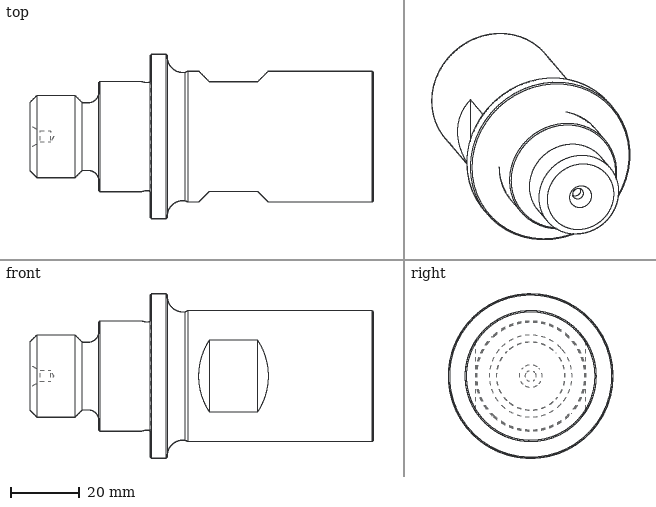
import cadquery as cq
import math

LENGTH = 100.0
PIN_END = 13.1
NECK_FLOOR_END = 17.0
SPIGOT_START = 20.0
SPIGOT_RELIEF_START = 32.4
FLANGE_START = 35.0
FLANGE_END = 40.0
BODY_START = 46.0

PIN_RADIUS = 12.0
NECK_RADIUS = 9.9
SPIGOT_RADIUS = 16.1
FLANGE_RADIUS = 24.0
BODY_RADIUS = 19.1

PIN_CHAMFER = 2.0
EDGE_CHAMFER = 0.4
NECK_FILLET = SPIGOT_START - NECK_FLOOR_END
BODY_FILLET = 4.5

SPIGOT_RELIEF_DEPTH = 0.3
SPIGOT_RELIEF_TAPER = 1.2
SPIGOT_RELIEF_FILLET = 0.8
FACE_RELIEF_DEPTH = 0.2
FACE_RELIEF_RADIUS = 17.7

BODY_RELIEF_DEPTH = 0.4
BODY_RELIEF_TAPER = 0.9

FLAT_START = 52.2
FLAT_LENGTH = 14.1
FLAT_DISTANCE = 16.0

CENTRE_RADIUS = 3.3
PILOT_RADIUS = 1.6
PILOT_DEPTH = 6.0
COUNTERSINK_ANGLE = 60.0
DRILL_POINT_ANGLE = 120.0


def cone_depth(radius_change, included_angle):
    """Axial length of a cone from its change of radius and included angle."""
    return radius_change / math.tan(math.radians(included_angle / 2))


def concave_fillet_middle(x_center, radius_center, fillet, toward_plus_x):
    """Midpoint of a quarter arc that faces the axis and the given X direction."""
    offset = fillet * math.sqrt(0.5)
    x_offset = offset if toward_plus_x else -offset
    return (x_center + x_offset, radius_center - offset)


def revolve_about_x(profile):
    return profile.close().revolve(360, (0, 0, 0), (1, 0, 0))


def turned_blank():
    neck_center = (NECK_FLOOR_END, NECK_RADIUS + NECK_FILLET)
    spigot_relief_radius = SPIGOT_RADIUS - SPIGOT_RELIEF_DEPTH
    face_relief_x = FLANGE_START + FACE_RELIEF_DEPTH
    relief_center = (face_relief_x - SPIGOT_RELIEF_FILLET, spigot_relief_radius + SPIGOT_RELIEF_FILLET)
    body_relief_radius = BODY_RADIUS - BODY_RELIEF_DEPTH
    body_fillet_center = (FLANGE_END + BODY_FILLET, body_relief_radius + BODY_FILLET)

    profile = (
        cq.Workplane("XY")
        .lineTo(0, PIN_RADIUS - PIN_CHAMFER)
        .lineTo(PIN_CHAMFER, PIN_RADIUS)
        .lineTo(PIN_END, PIN_RADIUS)
        .lineTo(PIN_END + PIN_RADIUS - NECK_RADIUS, NECK_RADIUS)
        .lineTo(NECK_FLOOR_END, NECK_RADIUS)
        .threePointArc(
            concave_fillet_middle(*neck_center, NECK_FILLET, True),
            (SPIGOT_START, neck_center[1]),
        )
        .lineTo(SPIGOT_START, SPIGOT_RADIUS - EDGE_CHAMFER)
        .lineTo(SPIGOT_START + EDGE_CHAMFER, SPIGOT_RADIUS)
        .lineTo(SPIGOT_RELIEF_START, SPIGOT_RADIUS)
        .lineTo(SPIGOT_RELIEF_START + SPIGOT_RELIEF_TAPER, spigot_relief_radius)
        .lineTo(relief_center[0], spigot_relief_radius)
        .threePointArc(
            concave_fillet_middle(*relief_center, SPIGOT_RELIEF_FILLET, True),
            (face_relief_x, relief_center[1]),
        )
        .lineTo(FLANGE_START, FACE_RELIEF_RADIUS)
        .lineTo(FLANGE_START, FLANGE_RADIUS - EDGE_CHAMFER)
        .lineTo(FLANGE_START + EDGE_CHAMFER, FLANGE_RADIUS)
        .lineTo(FLANGE_END - EDGE_CHAMFER, FLANGE_RADIUS)
        .lineTo(FLANGE_END, FLANGE_RADIUS - EDGE_CHAMFER)
        .lineTo(FLANGE_END, body_fillet_center[1])
        .threePointArc(
            concave_fillet_middle(*body_fillet_center, BODY_FILLET, False),
            (body_fillet_center[0], body_relief_radius),
        )
        .lineTo(BODY_START - BODY_RELIEF_TAPER, body_relief_radius)
        .lineTo(BODY_START, BODY_RADIUS)
        .lineTo(LENGTH - EDGE_CHAMFER, BODY_RADIUS)
        .lineTo(LENGTH, BODY_RADIUS - EDGE_CHAMFER)
        .lineTo(LENGTH, 0)
    )
    return revolve_about_x(profile)


def centre_drilling():
    countersink_depth = cone_depth(CENTRE_RADIUS - PILOT_RADIUS, COUNTERSINK_ANGLE)
    point_depth = cone_depth(PILOT_RADIUS, DRILL_POINT_ANGLE)
    profile = (
        cq.Workplane("XY")
        .lineTo(0, CENTRE_RADIUS)
        .lineTo(countersink_depth, PILOT_RADIUS)
        .lineTo(PILOT_DEPTH, PILOT_RADIUS)
        .lineTo(PILOT_DEPTH + point_depth, 0)
    )
    return revolve_about_x(profile)


def wrench_flat(side):
    """Cutter for one flat with 45 degree run-outs; side is -1 or +1 along Y."""
    flat_end = FLAT_START + FLAT_LENGTH
    run_out = FLANGE_RADIUS - FLAT_DISTANCE
    return (
        cq.Workplane("XY")
        .moveTo(FLAT_START, side * FLAT_DISTANCE)
        .lineTo(flat_end, side * FLAT_DISTANCE)
        .lineTo(flat_end + run_out, side * FLANGE_RADIUS)
        .lineTo(FLAT_START - run_out, side * FLANGE_RADIUS)
        .close()
        .extrude(BODY_RADIUS, both=True)
    )


result = turned_blank().cut(centre_drilling())
for flat_side in (-1, 1):
    result = result.cut(wrench_flat(flat_side))